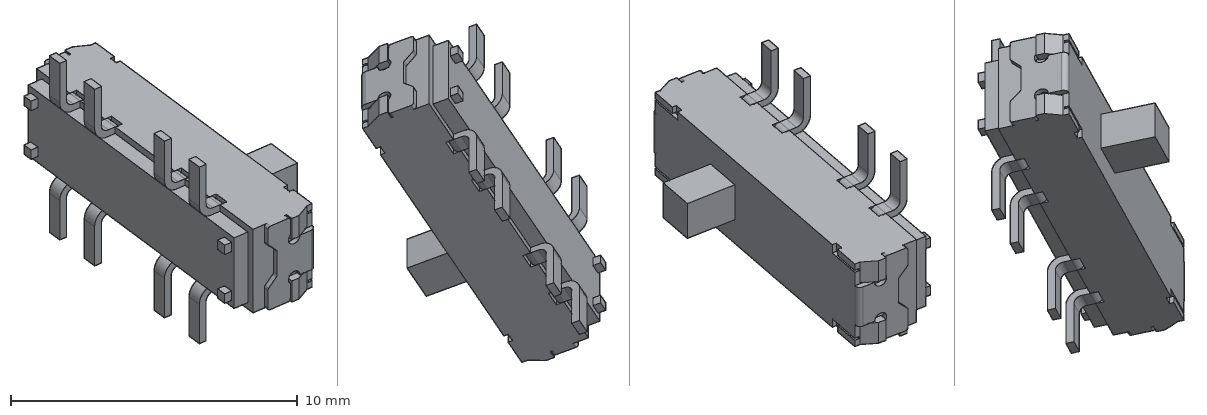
import cadquery as cq
import math


cover_length = 12.4
cover_height = 3.55
cover_front = 0.9
cover_back = 3.5
cover_half_length = cover_length / 2
cover_half_height = cover_height / 2

base_length = 11.8
base_height = 3.0
base_front = 0.3
standoff_size = 0.4
standoff_spacing_x = 11.1
standoff_spacing_z = 2.07

slider_size = 1.5
slider_x = 2.0
slider_tip = 5.5

lead_positions = (-4.0, -2.0, 2.0, 4.0)
lead_width = 0.6
lead_thickness = 0.3
lead_bend_radius = 0.3
lead_span = 7.5
lead_root_y = cover_front
lead_window_back = cover_front + lead_thickness

tab_thickness = 0.21
tab_fold_radius = 0.2
tab_neck_half_width = 0.84
tab_shoulder_y = 2.38
tab_front = 1.4
tab_recess_depth = 0.4
tab_recess_top = 0.6
tab_recess_bottom = -0.46
tab_corner_radius = 0.1
relief_radius = 0.25
relief_y = 2.55

barb_reach = 6.5
barb_inner_z = 0.88
barb_slope_start_y = 3.28
barb_slope_end_y = 2.7

relief_depth = 0.17
relief_slit_width = 0.08
relief_slit_top = 1.5
relief_notch_start_x = 4.8
relief_notch_width = 0.33


def box(x_range, y_range, z_range):
    """Axis-aligned block between the given limits."""
    (x0, x1), (y0, y1), (z0, z1) = x_range, y_range, z_range
    return cq.Workplane("XY").box(x1 - x0, y1 - y0, z1 - z0, centered=False).translate((x0, y0, z0))


def centred(size, middle=0.0):
    """Limits of a length centred on a middle value."""
    return (middle - size / 2, middle + size / 2)


def mirrored_in_z(shape):
    return shape.union(shape.mirror("XY"))


def make_body():
    cover = box(centred(cover_length), (cover_front, cover_back), centred(cover_height))
    base = box(centred(base_length), (base_front, cover_front), centred(base_height))
    slider = box(centred(slider_size, slider_x), (cover_back, slider_tip), centred(slider_size))
    body = cover.union(base).union(slider)
    for x in centred(standoff_spacing_x):
        for z in centred(standoff_spacing_z):
            foot = box(centred(standoff_size, x), (0, base_front), centred(standoff_size, z))
            body = body.union(foot)
    return body


def make_corner_relief():
    """Notch in the top wall joined to a thin slit that runs out at the end of the cover (-X, +Z)."""
    y_range = (cover_back - relief_depth, cover_back)
    slit_bottom = relief_slit_top - relief_slit_width
    notch_end_x = relief_notch_start_x + relief_notch_width
    notch = box((-notch_end_x, -relief_notch_start_x), y_range, (slit_bottom, cover_half_height))
    slit = box((-cover_half_length, -relief_notch_start_x), y_range, (slit_bottom, relief_slit_top))
    return notch.union(slit)


def make_end_tab():
    """Tab plate on the -X end: narrow neck at the back, wide stepped plate in front."""
    outer_x = cover_half_length + tab_thickness
    recess_y = tab_front + tab_recess_depth
    plate = (
        cq.Workplane("YZ")
        .polyline([
            (tab_shoulder_y, cover_half_height),
            (tab_front, cover_half_height),
            (tab_front, tab_recess_top + tab_recess_depth),
            (recess_y, tab_recess_top),
            (recess_y, tab_recess_bottom),
            (tab_front, tab_recess_bottom - tab_recess_depth),
            (tab_front, -cover_half_height),
            (tab_shoulder_y, -cover_half_height),
        ])
        .close()
        .extrude(tab_thickness)
        .edges("|X")
        .fillet(tab_corner_radius)
        .translate((-outer_x, 0, 0))
    )
    neck = box(
        (-outer_x, -cover_half_length),
        (tab_shoulder_y - relief_radius, cover_back),
        centred(2 * tab_neck_half_width),
    )
    neck = neck.edges("<X and >Y").fillet(tab_fold_radius)
    tab = plate.union(neck)
    for z in (-tab_neck_half_width, tab_neck_half_width):
        hole = cq.Workplane("YZ").center(relief_y, z).circle(relief_radius).extrude(tab_thickness)
        tab = tab.cut(hole.translate((-outer_x, 0, 0)))
    return tab


def make_barb():
    """Wedge-shaped catch on the -X end, on the +Z side of the tab neck."""
    return (
        cq.Workplane("XY")
        .polyline([
            (-cover_half_length, barb_slope_start_y),
            (-barb_reach, barb_slope_end_y),
            (-barb_reach, tab_shoulder_y),
            (-cover_half_length, tab_shoulder_y),
        ])
        .close()
        .extrude(cover_half_height - barb_inner_z)
        .translate((0, 0, barb_inner_z))
    )


def make_lead_window(x):
    """Opening in the top wall of the cover above a terminal root."""
    z_range = (cover_half_height - lead_thickness, cover_half_height)
    return box(centred(lead_width, x), (cover_front, lead_window_back), z_range)


def make_lead(x):
    """Terminal with a rounded root, a straight shank and a foot bent up to +Z."""
    outer_z = cover_half_height
    inner_z = outer_z - lead_thickness
    bend_y = lead_thickness + lead_bend_radius
    bend_z = outer_z + lead_bend_radius
    outer_radius = lead_bend_radius + lead_thickness
    diagonal = math.sqrt(0.5)
    profile = (
        cq.Workplane("YZ")
        .moveTo(lead_window_back, inner_z)
        .threePointArc(
            (lead_root_y + lead_thickness * diagonal, inner_z + lead_thickness * diagonal),
            (lead_root_y, outer_z),
        )
        .lineTo(bend_y, outer_z)
        .threePointArc(
            (bend_y - lead_bend_radius * diagonal, bend_z - lead_bend_radius * diagonal),
            (lead_thickness, bend_z),
        )
        .lineTo(lead_thickness, lead_span / 2)
        .lineTo(0, lead_span / 2)
        .lineTo(0, bend_z)
        .threePointArc(
            (bend_y - outer_radius * diagonal, bend_z - outer_radius * diagonal),
            (bend_y, inner_z),
        )
        .close()
    )
    return profile.extrude(lead_width).translate((x - lead_width / 2, 0, 0))


end_fittings = make_end_tab().union(mirrored_in_z(make_barb()))
corner_reliefs = mirrored_in_z(make_corner_relief())

result = make_body()
result = result.cut(corner_reliefs).cut(corner_reliefs.mirror("YZ"))
result = result.union(end_fittings).union(end_fittings.mirror("YZ"))
for lead_x in lead_positions:
    result = result.cut(mirrored_in_z(make_lead_window(lead_x)))
    result = result.union(mirrored_in_z(make_lead(lead_x)))